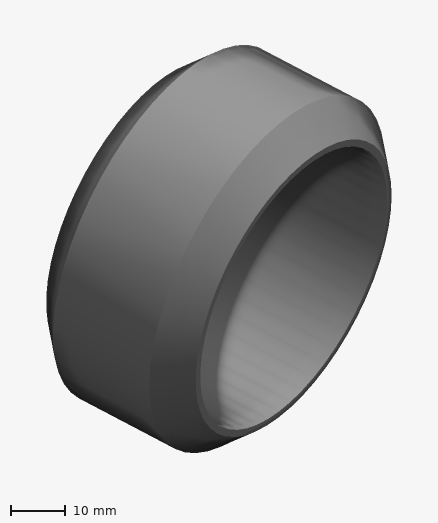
import cadquery as cq

outer_diameter = 72.0
bore_diameter = 57.0
width = 34.0
chamfer_size = 6.05

ring = (
    cq.Workplane("YZ", origin=(-width / 2, 0, 0))
    .circle(outer_diameter / 2)
    .circle(bore_diameter / 2)
    .extrude(width)
)

outer_edges = ring.edges("%CIRCLE").edges(cq.selectors.RadiusNthSelector(-1))
result = outer_edges.chamfer(chamfer_size)